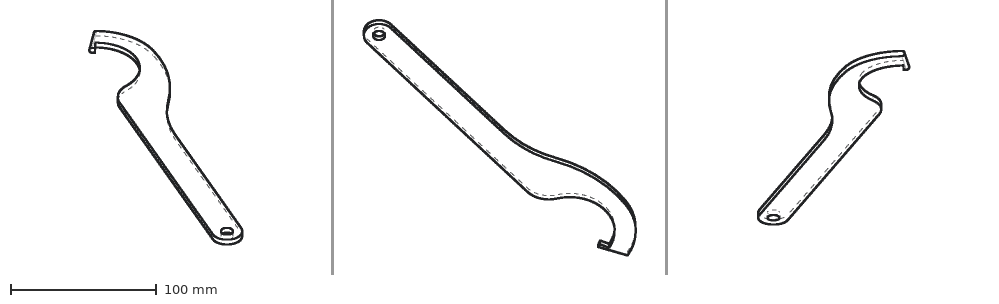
import cadquery as cq
import math


overall_length = 273.0
thickness = 4.0
handle_width = 21.0
hole_diameter = 8.2

hook_centre_to_hole = 220.0
hook_inner_radius = 30.9
hook_outer_radius = 45.3
back_radius = 95.0
back_start_angle = 97.5
neck_radius = 81.0
throat_radius = 19.0

end_length = 21.0
end_angle = -30.0
nose_tip_width = 2.0
nose_inner_angle = -24.0

half_width = handle_width / 2
end_radius = thickness / 2
hook_x = -hook_centre_to_hole
hook_y = -half_width
left_end = half_width - overall_length


def polar(centre, radius, angle):
    """Point at a radius and an angle in radians from a centre."""
    return (centre[0] + radius * math.cos(angle), centre[1] + radius * math.sin(angle))


def direction(start, end):
    """Angle in radians of the line from start to end."""
    return math.atan2(end[1] - start[1], end[0] - start[0])


def crossing_angle(point, line_angle, radius):
    """Angle, about the hook centre, where a line through a point first enters a circle of a radius."""
    offset_x = point[0] - hook_x
    offset_y = point[1] - hook_y
    to_middle = -(offset_x * math.cos(line_angle) + offset_y * math.sin(line_angle))
    half_chord = math.sqrt(radius**2 - offset_x**2 - offset_y**2 + to_middle**2)
    return direction((hook_x, hook_y), polar(point, to_middle - half_chord, line_angle))


hook_centre = (hook_x, hook_y)
back_start = math.radians(back_start_angle)
back_centre = polar(hook_centre, hook_outer_radius - back_radius, back_start)
neck_y = half_width + neck_radius
neck_rise = neck_y - back_centre[1]
neck_x = back_centre[0] + math.sqrt((back_radius + neck_radius) ** 2 - neck_rise**2)
neck_centre = (neck_x, neck_y)
throat_y = throat_radius - half_width
throat_x = hook_x + math.sqrt((hook_inner_radius + throat_radius) ** 2 - throat_radius**2)
throat_centre = (throat_x, throat_y)
back_end = direction(back_centre, neck_centre)
throat_start = direction(hook_centre, throat_centre)

end_direction = math.radians(end_angle)
end_normal = end_direction + math.pi / 2
crest_angle = math.acos((left_end - hook_x) / hook_outer_radius)
crest_corner = polar(hook_centre, hook_outer_radius, crest_angle)
end_base = polar(crest_corner, end_radius, end_normal)
nose_tip = polar(end_base, end_length, end_direction)
nose_shoulder = polar(nose_tip, nose_tip_width, end_normal)
end_outer = crossing_angle(end_base, end_direction, hook_outer_radius)
nose_root = crossing_angle(nose_shoulder, math.radians(nose_inner_angle), hook_inner_radius)


def arc(outline, centre, radius, start, end):
    """Continue an outline along an arc between two angles in radians."""
    middle = polar(centre, radius, (start + end) / 2)
    return outline.threePointArc(middle, polar(centre, radius, end))


def make_plate():
    """Plate whose hook ends along the middle line of the rounded end."""
    outline = cq.Workplane("XY", origin=(0, 0, -thickness / 2))
    outline = outline.moveTo(*polar(hook_centre, hook_outer_radius, end_outer))
    outline = arc(outline, hook_centre, hook_outer_radius, end_outer, back_start)
    outline = arc(outline, back_centre, back_radius, back_start, back_end)
    outline = arc(outline, neck_centre, neck_radius, back_end - math.pi, -math.pi / 2)
    outline = outline.lineTo(0, half_width)
    outline = outline.threePointArc((half_width, 0), (0, -half_width))
    outline = outline.lineTo(throat_x, -half_width)
    outline = arc(outline, throat_centre, throat_radius, -math.pi / 2, throat_start - math.pi)
    outline = arc(outline, hook_centre, hook_inner_radius, throat_start, nose_root)
    outline = outline.lineTo(*nose_shoulder).lineTo(*nose_tip)
    return outline.close().extrude(thickness)


def make_rounded_end():
    """Half-round edge along the hook's end, trimmed to the hook's outer circle."""
    axis = cq.Vector(math.cos(end_direction), math.sin(end_direction), 0)
    flat_side = cq.Vector(math.cos(end_normal), math.sin(end_normal), 0)
    length = end_length + thickness
    profile_plane = cq.Plane(origin=(*nose_tip, 0), xDir=flat_side, normal=-axis)
    profile = cq.Workplane(profile_plane).moveTo(0, end_radius)
    half_round = profile.threePointArc((-end_radius, 0), (0, -end_radius)).close().extrude(length)
    disc = cq.Workplane("XY").center(*hook_centre).circle(hook_outer_radius).extrude(thickness, both=True)
    return half_round.intersect(disc)


def make_hanging_hole():
    return cq.Workplane("XY").circle(hole_diameter / 2).extrude(thickness, both=True)


result = make_plate().union(make_rounded_end()).cut(make_hanging_hole())